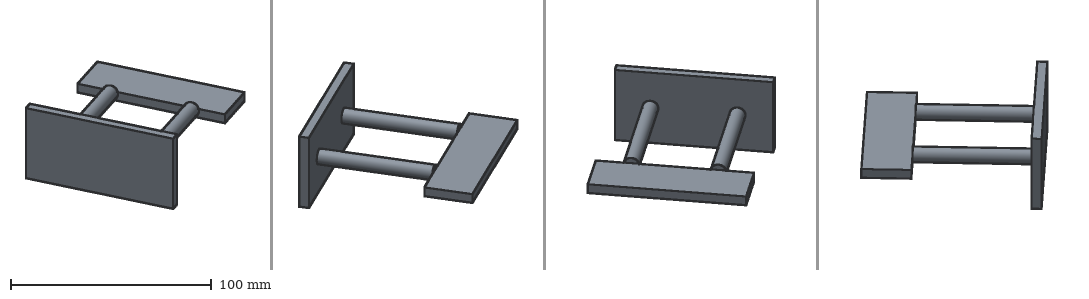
import cadquery as cq

total_depth = 90.0
width = 80.0
front_height = 40.0
plate_thickness = 5.0
rear_depth = 25.0
rod_diameter = 8.0
rod_spacing = 44.0

rod_length = total_depth - plate_thickness - rear_depth
rear_start = plate_thickness + rod_length
rear_bottom = -rod_diameter / 2

front_plate = cq.Workplane("XY").box(
    width, plate_thickness, front_height, centered=(True, False, True)
)

rear_plate = (
    cq.Workplane("XY")
    .box(width, rear_depth, plate_thickness, centered=(True, False, False))
    .translate((0, rear_start, rear_bottom))
)

rods = (
    front_plate.faces(">Y")
    .workplane(origin=(0, 0, 0))
    .pushPoints([(-rod_spacing / 2, 0), (rod_spacing / 2, 0)])
    .circle(rod_diameter / 2)
    .extrude(rod_length, combine=False)
)

result = front_plate.union(rods).union(rear_plate)